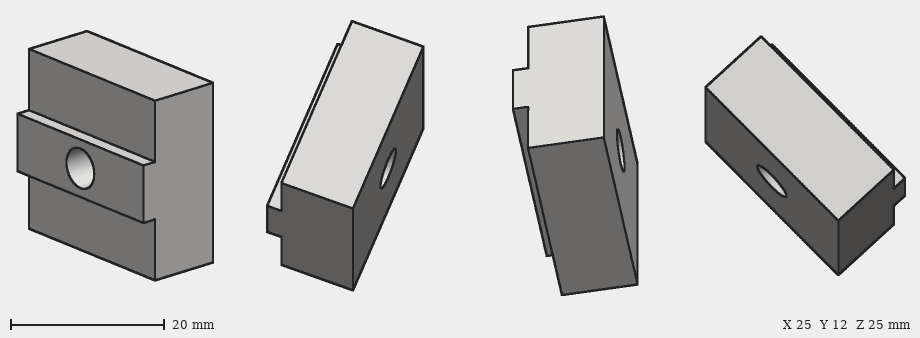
import cadquery as cq

side = 25.0
block_depth = 10.0
rib_depth = 2.0
rib_height = 8.0
hole_diameter = 5.5

total_depth = block_depth + rib_depth

block = cq.Workplane("XY").box(side, block_depth, side, centered=(True, False, True))

rib = (
    cq.Workplane("XY")
    .box(side, rib_depth, rib_height, centered=(True, False, True))
    .translate((0, -rib_depth, 0))
)

hole = (
    cq.Workplane("XZ", origin=(0, block_depth, 0))
    .circle(hole_diameter / 2)
    .extrude(total_depth)
)

result = block.union(rib).cut(hole)